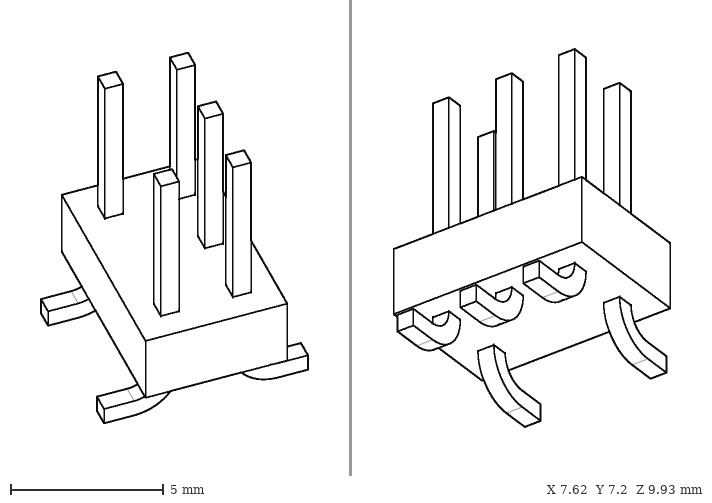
import cadquery as cq

housing_length = 7.62
housing_width = 5.0
housing_height = 2.54

pitch = 2.54
pin_size = 0.65
overall_height = 9.93
foot_span = 7.2
housing_lift = 1.59
inner_radius = housing_lift - pin_size
outer_radius = inner_radius + pin_size

pin_positions = [(-1, 1), (0, 1), (1, 1), (-1, -1), (1, -1)]


def make_pin(column, side):
    """Square pin with a rounded bend and a foot pointing away from the housing centre."""
    inside = side * (pitch - pin_size) / 2
    outside = side * (pitch + pin_size) / 2
    bend_end = outside + side * inner_radius
    foot_tip = side * foot_span / 2
    return (
        cq.Workplane("YZ")
        .moveTo(inside, overall_height)
        .lineTo(inside, outer_radius)
        .radiusArc((bend_end, 0), -side * outer_radius)
        .lineTo(foot_tip, 0)
        .lineTo(foot_tip, pin_size)
        .lineTo(bend_end, pin_size)
        .radiusArc((outside, outer_radius), side * inner_radius)
        .lineTo(outside, overall_height)
        .close()
        .extrude(pin_size / 2, both=True)
        .translate((column * pitch, 0, 0))
    )


def make_housing():
    """Rectangular block with a square through hole for every pin."""
    block = (
        cq.Workplane("XY", origin=(0, 0, housing_lift))
        .rect(housing_length, housing_width)
        .extrude(housing_height)
    )
    hole_centres = [(column * pitch, side * pitch / 2) for column, side in pin_positions]
    holes = (
        cq.Workplane("XY", origin=(0, 0, housing_lift))
        .pushPoints(hole_centres)
        .rect(pin_size, pin_size)
        .extrude(housing_height)
    )
    return block.cut(holes)


housing = make_housing()
pins = [make_pin(column, side) for column, side in pin_positions]

result = cq.Compound.makeCompound([housing.val(), *[pin.val() for pin in pins]])